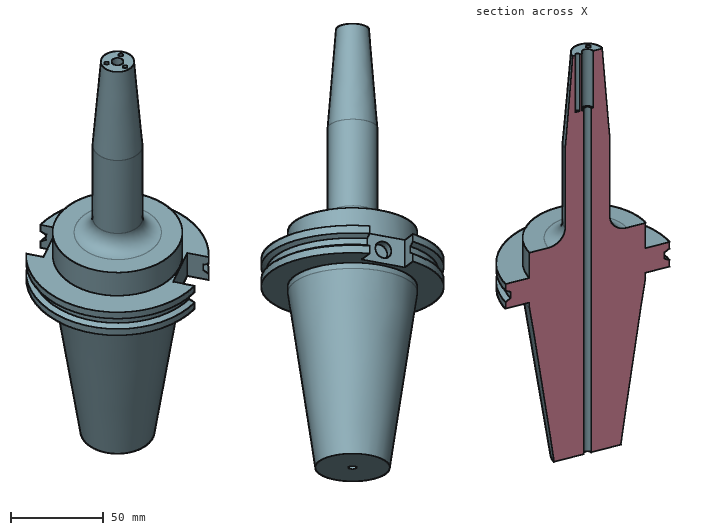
import cadquery as cq
import math

TIP_Z = 152.4
HUB_TOP_Z = 35.0
FLANGE_BOTTOM_Z = 3.175
FLANGE_THICKNESS = 15.875
TAPER_LENGTH = 101.6

GAUGE_DIAMETER = 69.85
TAPER_RATIO = 7 / 24
FLANGE_DIAMETER = 98.425
STEM_DIAMETER = 27.0
TIP_DIAMETER = 18.0

STEM_FILLET = 10.0
NOSE_HALF_ANGLE = 4.5

GROOVE_WIDTH = 7.1
GROOVE_WALL_ANGLE = 30.0
GROOVE_DEPTH = 3.0

SLOT_WIDTH = 25.92
LEFT_SLOT_FLOOR = 37.7
RIGHT_SLOT_FLOOR = 35.3
SLOT_HOLE_DIAMETER = 9.5
SLOT_HOLE_DEPTH = 5.0

TOOL_BORE_DIAMETER = 6.35
TOOL_BORE_DEPTH = 36.0
THROUGH_BORE_DIAMETER = 4.4
COOLANT_HOLE_COUNT = 3
COOLANT_HOLE_DIAMETER = 2.5
COOLANT_HOLE_DEPTH = 36.0
COOLANT_CIRCLE_RADIUS = 6.0
FIRST_COOLANT_ANGLE = 90.0

TOTAL_LENGTH = TIP_Z + TAPER_LENGTH
FLANGE_MID_Z = FLANGE_BOTTOM_Z + FLANGE_THICKNESS / 2
TAPER_END_DIAMETER = GAUGE_DIAMETER - TAPER_LENGTH * TAPER_RATIO
FLANGE_RADIUS = FLANGE_DIAMETER / 2
NOSE_LENGTH = (STEM_DIAMETER - TIP_DIAMETER) / 2 / math.tan(math.radians(NOSE_HALF_ANGLE))
NOSE_BASE_Z = TIP_Z - NOSE_LENGTH


def holder_body():
    """Taper, hub, filleted stem and conical nose, revolved about Z."""
    hub_radius = GAUGE_DIAMETER / 2
    stem_radius = STEM_DIAMETER / 2
    fillet_centre_r = stem_radius + STEM_FILLET
    fillet_centre_z = HUB_TOP_Z + STEM_FILLET
    diagonal = STEM_FILLET * math.sqrt(0.5)
    profile = (
        cq.Workplane("XZ")
        .moveTo(0, -TAPER_LENGTH)
        .lineTo(TAPER_END_DIAMETER / 2, -TAPER_LENGTH)
        .lineTo(hub_radius, 0)
        .lineTo(hub_radius, HUB_TOP_Z)
        .lineTo(fillet_centre_r, HUB_TOP_Z)
        .threePointArc(
            (fillet_centre_r - diagonal, fillet_centre_z - diagonal),
            (stem_radius, fillet_centre_z),
        )
        .lineTo(stem_radius, NOSE_BASE_Z)
        .lineTo(TIP_DIAMETER / 2, TIP_Z)
        .lineTo(0, TIP_Z)
        .close()
    )
    return profile.revolve(360, (0, 0, 0), (0, 1, 0))


def flange():
    """Disc with the trapezoidal gripper groove."""
    disc = (
        cq.Workplane("XY")
        .workplane(offset=FLANGE_BOTTOM_Z)
        .circle(FLANGE_RADIUS)
        .extrude(FLANGE_THICKNESS)
    )
    wall_run = GROOVE_DEPTH * math.tan(math.radians(GROOVE_WALL_ANGLE))
    floor_width = GROOVE_WIDTH - 2 * wall_run
    floor_radius = FLANGE_RADIUS - GROOVE_DEPTH
    groove = (
        cq.Workplane("XZ")
        .moveTo(FLANGE_RADIUS, FLANGE_MID_Z - GROOVE_WIDTH / 2)
        .lineTo(floor_radius, FLANGE_MID_Z - floor_width / 2)
        .lineTo(floor_radius, FLANGE_MID_Z + floor_width / 2)
        .lineTo(FLANGE_RADIUS, FLANGE_MID_Z + GROOVE_WIDTH / 2)
        .close()
        .revolve(360, (0, 0, 0), (0, 1, 0))
    )
    return disc.cut(groove)


def drive_slot(side, floor_distance):
    """Cutter for a drive slot; side is -1 for -X and +1 for +X."""
    length = FLANGE_RADIUS - floor_distance
    return (
        cq.Workplane("XY")
        .workplane(offset=FLANGE_BOTTOM_Z)
        .center(side * (floor_distance + length / 2), 0)
        .rect(length, SLOT_WIDTH)
        .extrude(FLANGE_THICKNESS)
    )


def slot_hole():
    """Cutter for the blind hole in the floor of the -X drive slot."""
    return (
        cq.Workplane("YZ", origin=(-LEFT_SLOT_FLOOR, 0, FLANGE_MID_Z))
        .circle(SLOT_HOLE_DIAMETER / 2)
        .extrude(SLOT_HOLE_DEPTH)
    )


def drill_tip(part):
    """Through bore, tool bore and ring of coolant holes from the tip face."""
    tip = cq.Workplane("XY", origin=(0, 0, TIP_Z))
    through_bore = tip.circle(THROUGH_BORE_DIAMETER / 2).extrude(-TOTAL_LENGTH)
    tool_bore = tip.circle(TOOL_BORE_DIAMETER / 2).extrude(-TOOL_BORE_DEPTH)
    coolant_holes = (
        tip.polarArray(COOLANT_CIRCLE_RADIUS, FIRST_COOLANT_ANGLE, 360, COOLANT_HOLE_COUNT)
        .circle(COOLANT_HOLE_DIAMETER / 2)
        .extrude(-COOLANT_HOLE_DEPTH)
    )
    return part.cut(through_bore).cut(tool_bore).cut(coolant_holes)


result = holder_body().union(flange())
result = result.cut(drive_slot(-1, LEFT_SLOT_FLOOR))
result = result.cut(drive_slot(1, RIGHT_SLOT_FLOOR))
result = result.cut(slot_hole())
result = drill_tip(result)